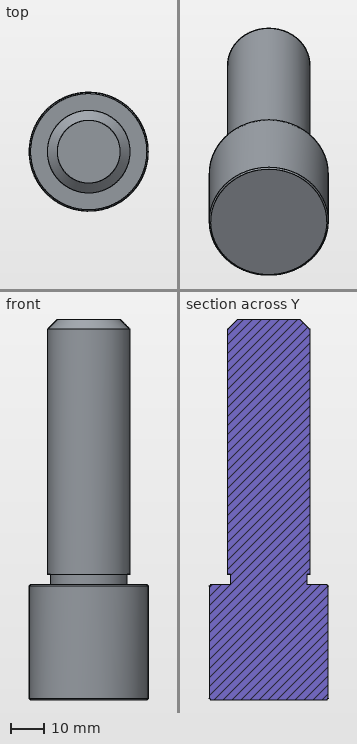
import cadquery as cq

total_length = 115.0
head_diameter = 36.0
head_length = 35.0
head_chamfer = 0.5

shank_diameter = 25.0
neck_diameter = 23.2
neck_length = 3.0
tip_chamfer = 3.0

neck_top = head_length + neck_length
shank_length = total_length - neck_top


def cylinder(diameter, length, base_z):
    """Upright cylinder on the Z axis, starting at base_z."""
    return cq.Workplane("XY").workplane(offset=base_z).circle(diameter / 2).extrude(length)


head = cylinder(head_diameter, head_length, 0).faces("<Z or >Z").edges().chamfer(head_chamfer)

neck = cylinder(neck_diameter, neck_length, head_length)

shank = cylinder(shank_diameter, shank_length, neck_top).faces(">Z").edges().chamfer(tip_chamfer)

result = head.union(neck).union(shank)